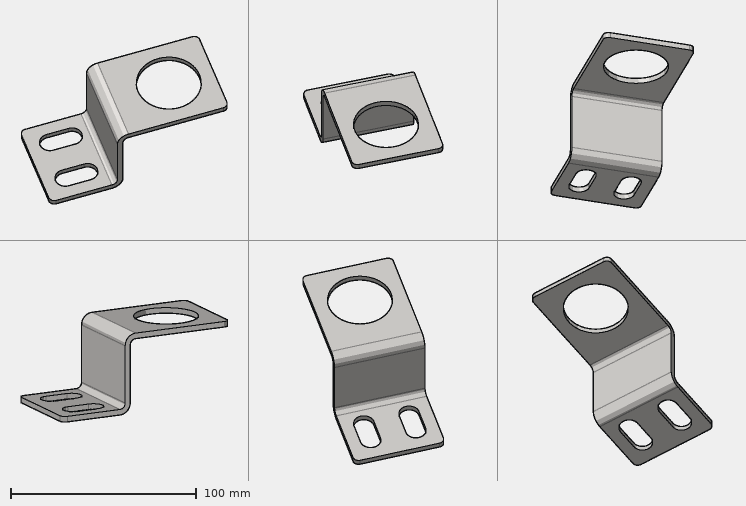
import cadquery as cq

width = 50.8
length = 101.6
height = 44.5

thickness = 3.1
inner_bend_radius = 3.1
outer_bend_radius = inner_bend_radius + thickness
corner_radius = 3.1

web_front = 38.1
web_back = web_front + thickness

hole_diameter = 35.0
hole_y = length - width / 2

slot_length = 23.8
slot_width = 11.1
slot_spacing = width / 2
slot_y = 19.1


def bent_strip():
    """Z-shaped side profile, centred on X = 0, with its front edge at Y = 0."""
    profile = (
        cq.Workplane("YZ")
        .moveTo(0, 0)
        .lineTo(web_back, 0)
        .lineTo(web_back, height - thickness)
        .lineTo(length, height - thickness)
        .lineTo(length, height)
        .lineTo(web_front, height)
        .lineTo(web_front, thickness)
        .lineTo(0, thickness)
        .close()
    )
    return profile.extrude(width / 2, both=True)


def round_bend(body, outer_edge, inner_edge):
    """Round both faces of a bend; each edge is given as a (y, z) place."""
    body = body.edges(cq.selectors.NearestToPointSelector((0, *outer_edge))).fillet(outer_bend_radius)
    return body.edges(cq.selectors.NearestToPointSelector((0, *inner_edge))).fillet(inner_bend_radius)


bracket = bent_strip()
bracket = round_bend(bracket, (web_back, 0), (web_front, thickness))
bracket = round_bend(bracket, (web_front, height), (web_back, height - thickness))

for end in ("<Y", ">Y"):
    bracket = bracket.faces(end).edges("|Z").fillet(corner_radius)

hole = cq.Workplane("XY").center(0, hole_y).circle(hole_diameter / 2).extrude(height)

slots = (
    cq.Workplane("XY")
    .pushPoints([(-slot_spacing / 2, slot_y), (slot_spacing / 2, slot_y)])
    .slot2D(slot_length, slot_width, 90)
    .extrude(thickness)
)

result = bracket.cut(hole).cut(slots)